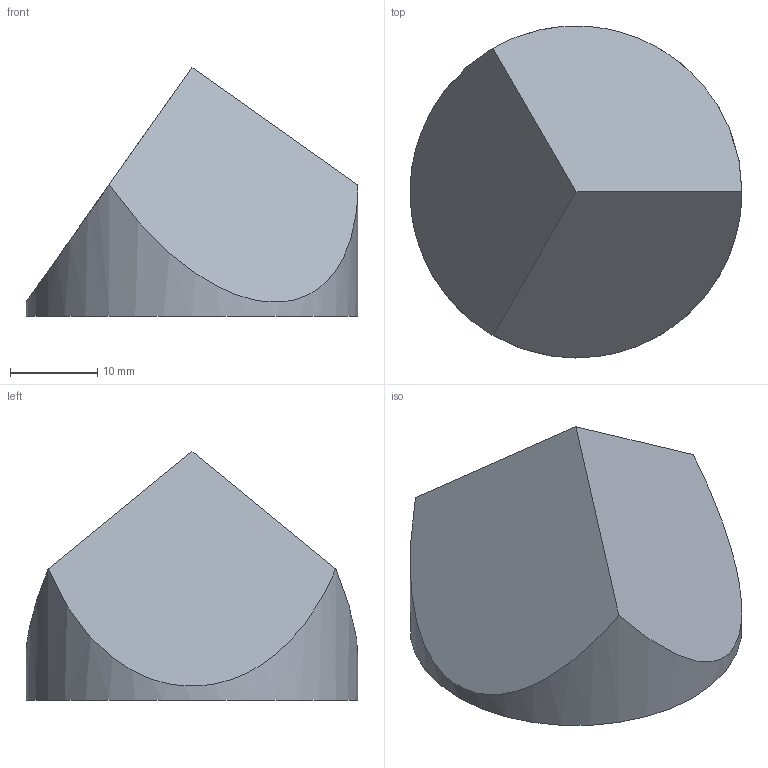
import cadquery as cq
import math

diameter = 38.0
height = 28.5
face_count = 3
first_face_angle = 60.0

face_slope = math.sqrt(2)
radius = diameter / 2
slab_size = 4 * (diameter + height)


def make_cylinder():
    """Plain round body standing on the XY plane."""
    return cq.Workplane("XY").circle(radius).extrude(height)


def make_face_cutter(angle_deg):
    """Slab whose underside is a sloping face through the apex, downhill along the given angle."""
    angle = math.radians(angle_deg)
    outward = (math.cos(angle), math.sin(angle))
    across = (-outward[1], outward[0], 0)
    face_normal = (face_slope * outward[0], face_slope * outward[1], 1)
    face_plane = cq.Plane(origin=(0, 0, height), xDir=across, normal=face_normal)
    return cq.Workplane(face_plane).rect(slab_size, slab_size).extrude(slab_size)


def make_cube_corner_prism():
    """Cylinder with its top cut to a three-faced cube corner centred on the axis."""
    body = make_cylinder()
    for index in range(face_count):
        face_angle = first_face_angle + index * 360.0 / face_count
        body = body.cut(make_face_cutter(face_angle))
    return body


result = make_cube_corner_prism()